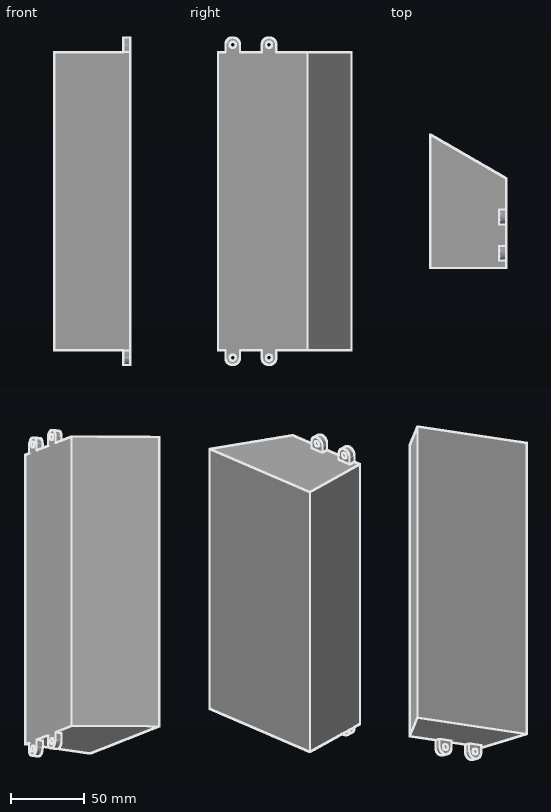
import cadquery as cq
import math

width = 52.0
depth = 91.3
total_height = 223.7
slant_angle = 30.0

ear_width = 10.0
ear_height = 10.0
ear_thickness = 5.0
hole_diameter = 4.0
ear_positions = (10.0, 35.0)

body_height = total_height - 2 * ear_height
short_depth = depth - width * math.tan(math.radians(slant_angle))


def make_body():
    outline = [(0, 0), (width, 0), (width, short_depth), (0, depth)]
    return cq.Workplane("XY").polyline(outline).close().extrude(body_height)


def make_ear(center_y, base_z, direction):
    """Round-ended ear with a hole; direction is +1 for up and -1 for down."""
    radius = ear_width / 2
    center_z = base_z + direction * (ear_height - radius)
    tip_z = base_z + direction * ear_height
    plate = (
        cq.Workplane("YZ", origin=(width - ear_thickness, 0, 0))
        .moveTo(center_y - radius, base_z)
        .lineTo(center_y - radius, center_z)
        .threePointArc((center_y, tip_z), (center_y + radius, center_z))
        .lineTo(center_y + radius, base_z)
        .close()
        .extrude(ear_thickness)
    )
    hole = (
        cq.Workplane("YZ", origin=(width - ear_thickness, 0, 0))
        .center(center_y, center_z)
        .circle(hole_diameter / 2)
        .extrude(ear_thickness)
    )
    return plate.cut(hole)


result = make_body()
for ear_y in ear_positions:
    result = result.union(make_ear(ear_y, body_height, 1))
    result = result.union(make_ear(ear_y, 0, -1))